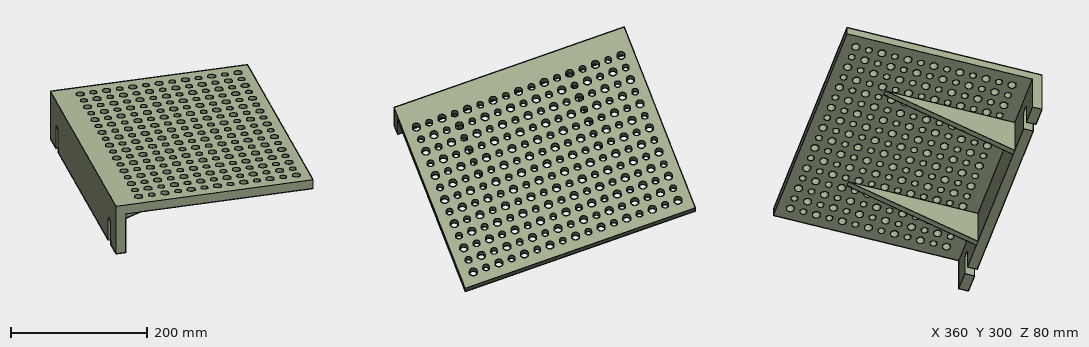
import cadquery as cq

LENGTH = 360.0
DEPTH = 300.0
HEIGHT = 80.0
WALL = 15.0
FRONT_Y = -DEPTH / 2
SHELF_UNDERSIDE_Z = HEIGHT - WALL
FLANGE_BACK_Y = FRONT_Y + WALL

HOLE_PITCH = 20.0
HOLE_COLUMNS = 17
HOLE_ROWS = 13
LARGE_HOLE_DIAMETER = 12.0
SMALL_HOLE_DIAMETER = 10.0
HOLE_MARGIN = 20.0
FIRST_HOLE_X = -(HOLE_COLUMNS - 1) * HOLE_PITCH / 2
LAST_ROW_Y = DEPTH / 2 - HOLE_MARGIN

SLOT_WIDTH = 13.0
SLOT_HEIGHT = 40.0
SLOT_END_MARGIN = 30.0
SLOT_OFFSET_X = LENGTH / 2 - SLOT_END_MARGIN - SLOT_WIDTH / 2

RIB_THICKNESS = 8.0
RIB_LENGTH = 199.0
COLUMNS_INSIDE_RIB = 4
RIB_OFFSET_X = (COLUMNS_INSIDE_RIB + 0.5) * HOLE_PITCH


def make_shelf_and_flange():
    """L-shaped profile extruded along the whole length."""
    profile = [
        (FRONT_Y, 0),
        (FLANGE_BACK_Y, 0),
        (FLANGE_BACK_Y, SHELF_UNDERSIDE_Z),
        (DEPTH / 2, SHELF_UNDERSIDE_Z),
        (DEPTH / 2, HEIGHT),
        (FRONT_Y, HEIGHT),
    ]
    return cq.Workplane("YZ").polyline(profile).close().extrude(LENGTH / 2, both=True)


def make_rib(center_x):
    """Triangular rib from the flange foot to the underside of the shelf."""
    triangle = [
        (FLANGE_BACK_Y, 0),
        (FLANGE_BACK_Y + RIB_LENGTH, SHELF_UNDERSIDE_Z),
        (FLANGE_BACK_Y, SHELF_UNDERSIDE_Z),
    ]
    rib = cq.Workplane("YZ").polyline(triangle).close().extrude(RIB_THICKNESS / 2, both=True)
    return rib.translate((center_x, 0, 0))


def make_slot(center_x):
    """Cutter for one open slot, passing through the flange."""
    radius = SLOT_WIDTH / 2
    shoulder_z = SLOT_HEIGHT - radius
    outline = (
        cq.Workplane("XZ", origin=(center_x, FLANGE_BACK_Y, 0))
        .moveTo(-radius, 0)
        .lineTo(-radius, shoulder_z)
        .threePointArc((0, SLOT_HEIGHT), (radius, shoulder_z))
        .lineTo(radius, 0)
        .close()
    )
    return outline.extrude(WALL)


def hole_centers(parity):
    """Grid positions whose column and row numbers add up to the given parity."""
    return [
        (FIRST_HOLE_X + column * HOLE_PITCH, LAST_ROW_Y - row * HOLE_PITCH)
        for column in range(HOLE_COLUMNS)
        for row in range(HOLE_ROWS)
        if (column + row) % 2 == parity
    ]


def make_holes(parity, diameter):
    """Cutters for one set of through holes in the shelf."""
    plane = cq.Workplane("XY", origin=(0, 0, SHELF_UNDERSIDE_Z))
    return plane.pushPoints(hole_centers(parity)).circle(diameter / 2).extrude(WALL)


result = make_shelf_and_flange()
for side in (-1, 1):
    result = result.cut(make_slot(side * SLOT_OFFSET_X))
result = result.cut(make_holes(0, LARGE_HOLE_DIAMETER))
result = result.cut(make_holes(1, SMALL_HOLE_DIAMETER))
for side in (-1, 1):
    result = result.union(make_rib(side * RIB_OFFSET_X))